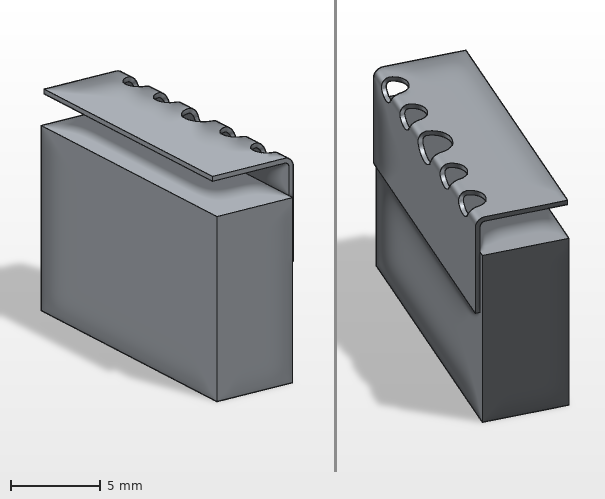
import cadquery as cq
import math

block_width = 17.2
block_depth = 5.16
block_height = 11.1

total_depth = 5.5
total_height = 13.4
sheet_width = 16.5
sheet = 0.3
bend_outer = 0.6
web_height = 6.3

inner_notch_x = 3.25
outer_notch_x = 6.25
small_notch = 0.88
large_notch = 1.17
notch_offset = 0.15
notches = [(0, large_notch)]
for notch_x in (inner_notch_x, outer_notch_x):
    notches.append((notch_x, small_notch))
    notches.append((-notch_x, small_notch))

bend_inner = bend_outer - sheet
bend_middle = bend_outer - sheet / 2
bend_length = bend_middle * math.pi / 2
back = block_depth + sheet
front = back - total_depth
bend_y = back - bend_outer
bend_z = total_height - bend_outer
web_bottom = total_height - web_height


def box(width, y_min, y_max, z_min, z_max):
    """Box centred on X between the given Y and Z limits."""
    block = cq.Workplane("XY").box(width, y_max - y_min, z_max - z_min, centered=(True, False, False))
    return block.translate((0, y_min, z_min))


def make_top_flange():
    """Flat top of the sheet, with the part of each notch in front of the bend."""
    flange = box(sheet_width, front, bend_y, total_height - sheet, total_height)
    centre_y = bend_y + notch_offset
    for x, radius in notches:
        hole = cq.Workplane("XY").center(x, centre_y).circle(radius).extrude(total_height)
        flange = flange.cut(hole)
    return flange


def make_web():
    """Upright sheet behind the block, with the part of each notch below the bend."""
    web = box(sheet_width, block_depth, back, web_bottom, bend_z)
    centre_z = bend_z + bend_length - notch_offset
    for x, radius in notches:
        hole = cq.Workplane("XZ").center(x, centre_z).circle(radius).extrude(-back)
        web = web.cut(hole)
    return web


def make_bend_notch(x, radius):
    """Round notch wrapped around the bend, lofted through radial rectangles."""
    section_count = 9
    near = bend_inner / 2
    far = bend_outer * 1.5
    sections = []
    for i in range(section_count):
        angle = math.pi / 2 * i / (section_count - 1)
        half_width = math.sqrt(radius**2 - (bend_middle * angle - notch_offset) ** 2)
        corners = []
        for side, reach in ((-1, near), (1, near), (1, far), (-1, far)):
            y = bend_y + reach * math.sin(angle)
            z = bend_z + reach * math.cos(angle)
            corners.append(cq.Vector(x + side * half_width, y, z))
        sections.append(cq.Wire.makePolygon(corners, close=True))
    return cq.Solid.makeLoft(sections)


def make_bend():
    """Quarter bend joining the top flange to the web, cut by the notches."""
    bend = (
        cq.Workplane("YZ")
        .center(bend_y, bend_z)
        .circle(bend_outer)
        .circle(bend_inner)
        .extrude(sheet_width / 2, both=True)
        .intersect(box(sheet_width, bend_y, back, bend_z, total_height))
    )
    for x, radius in notches:
        bend = bend.cut(cq.Workplane(make_bend_notch(x, radius)))
    return bend


block = box(block_width, 0, block_depth, 0, block_height)
result = block.union(make_web()).union(make_bend()).union(make_top_flange())